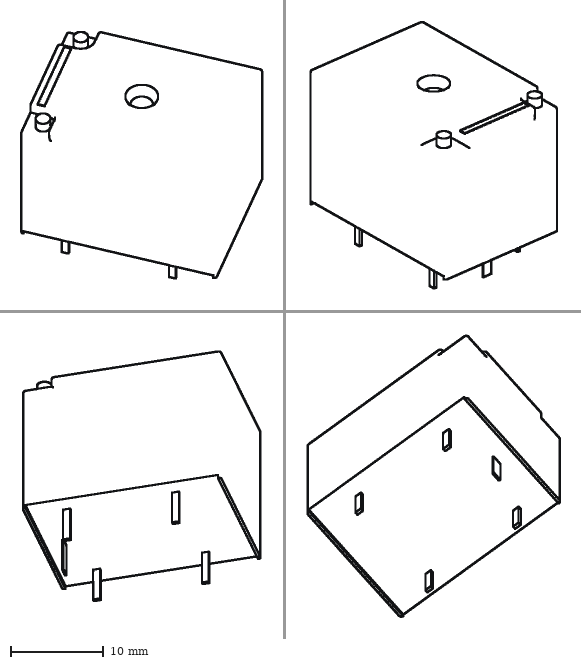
import cadquery as cq

LENGTH = 22.3
WIDTH = 16.3
HEIGHT = 16.68
OVERALL_HEIGHT = 20.2
EDGE_RADIUS = 0.33

END_LIP_HEIGHT = 0.35

POST_RADIUS = 0.8
POST_X = -9.1
POST_Y = 6.55

POCKET_DEPTH = 1.2
POCKET_WIDTH = 3.2
FRONT_POCKET_LENGTH = 3.2
REAR_POCKET_LENGTH = 3.61
POST_TO_END = LENGTH / 2 + POST_X

DIMPLE_TOP_RADIUS = 1.78
DIMPLE_FLOOR_RADIUS = 1.23
DIMPLE_DEPTH = 1.25

STRIP_X = -9.95
STRIP_WIDTH = 0.8
STRIP_THICKNESS = 0.11
STRIP_LENGTH = WIDTH - 2 * (POCKET_WIDTH + EDGE_RADIUS)

PIN_DROP = OVERALL_HEIGHT - HEIGHT
PIN_LENGTH = PIN_DROP + END_LIP_HEIGHT
SIDE_PIN_SIZE = (0.78, 0.35)
COMMON_PIN_SIZE = (0.18, 1.15)
COMMON_PIN_X = -8.7
COIL_PIN_X = -6.71
CONTACT_PIN_X = 5.5
SIDE_PIN_Y = 6.02


def make_corner_pocket(side, length):
    """Cutter for the pocket at the -X corner; side is -1 for -Y and +1 for +Y."""
    return (
        cq.Workplane("XY", origin=(-LENGTH / 2, side * WIDTH / 2, HEIGHT - POCKET_DEPTH))
        .rect(2 * length, 2 * POCKET_WIDTH)
        .extrude(POCKET_DEPTH)
        .edges("|Z")
        .fillet(length - POST_TO_END)
    )


def round_outer_edges(block):
    """Round every edge of the top and side faces, leaving the bottom edges sharp."""
    side_faces = block.faces("<X or >X or <Y or >Y")
    outer_edges = block.faces(">Z").edges().add(side_faces.edges())
    bottom_edges = block.faces("<Z").edges().vals()
    rounded_edges = [e for e in outer_edges.vals() if not any(e.isSame(b) for b in bottom_edges)]
    return block.newObject(rounded_edges).fillet(EDGE_RADIUS)


def make_dimple():
    """Cone-shaped cutter that narrows from the top of the housing to a flat floor."""
    return (
        cq.Workplane("XY", origin=(0, 0, HEIGHT))
        .circle(DIMPLE_TOP_RADIUS)
        .workplane(offset=-DIMPLE_DEPTH)
        .circle(DIMPLE_FLOOR_RADIUS)
        .loft(ruled=True)
    )


def make_marking_strip():
    """Thin flat strip whose upper face is level with the housing top."""
    return (
        cq.Workplane("XY", origin=(STRIP_X, 0, HEIGHT - STRIP_THICKNESS))
        .rect(STRIP_WIDTH, STRIP_LENGTH)
        .extrude(STRIP_THICKNESS)
    )


def make_housing(strip):
    """Rounded block with corner pockets, recessed underside, dimple and strip seat."""
    block = cq.Workplane("XY").box(LENGTH, WIDTH, HEIGHT, centered=(True, True, False))
    block = block.cut(make_corner_pocket(-1, FRONT_POCKET_LENGTH))
    block = block.cut(make_corner_pocket(1, REAR_POCKET_LENGTH))
    block = round_outer_edges(block)
    underside_recess = cq.Workplane("XY").box(
        LENGTH - 2 * EDGE_RADIUS, WIDTH, END_LIP_HEIGHT, centered=(True, True, False)
    )
    return block.cut(underside_recess).cut(make_dimple()).cut(strip)


def make_post(side):
    """Round post standing on a pocket floor, level with the housing top."""
    return (
        cq.Workplane("XY", origin=(POST_X, side * POST_Y, HEIGHT - POCKET_DEPTH))
        .circle(POST_RADIUS)
        .extrude(POCKET_DEPTH)
    )


def make_pin(x, y, size):
    """Flat pin reaching down from the recessed underside."""
    return cq.Workplane("XY", origin=(x, y, -PIN_DROP)).rect(*size).extrude(PIN_LENGTH)


marking_strip = make_marking_strip()
housing = make_housing(marking_strip)
posts = [make_post(side) for side in (-1, 1)]
common_pin = make_pin(COMMON_PIN_X, 0, COMMON_PIN_SIZE)
side_pins = [
    make_pin(x, side * SIDE_PIN_Y, SIDE_PIN_SIZE)
    for x in (COIL_PIN_X, CONTACT_PIN_X)
    for side in (-1, 1)
]

result = cq.Compound.makeCompound(
    [
        housing.val(),
        marking_strip.val(),
        *[post.val() for post in posts],
        common_pin.val(),
        *[pin.val() for pin in side_pins],
    ]
)